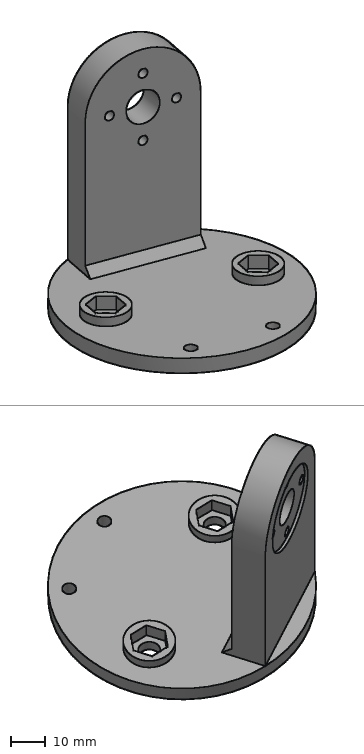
import cadquery as cq
import math

base_diameter = 77.0
base_thickness = 5.0

overall_height = 74.0
upright_width = 38.0
upright_thickness = 10.5
upright_radius = upright_width / 2
upright_outer_x = -math.sqrt((base_diameter / 2) ** 2 - upright_radius ** 2)
upright_inner_x = upright_outer_x + upright_thickness
bore_height = overall_height - upright_radius
foot_chamfer = 3.0

recess_diameter = 27.0
recess_depth = 1.0
bore_diameter = 11.0
bolt_circle_diameter = 22.0
bolt_hole_diameter = 3.0
bolt_count = 4

boss_offset = 25.0
boss_diameter = 15.0
boss_height = 3.0
nut_across_flats = 10.0
nut_across_corners = nut_across_flats / math.cos(math.pi / 6)
nut_pocket_depth = 4.5
screw_hole_diameter = 6.5
boss_top = base_thickness + boss_height

rim_hole_x = 29.5
rim_hole_spacing = 26.95
rim_hole_diameter = 4.0


def make_base():
    plate = cq.Workplane("XY").circle(base_diameter / 2).extrude(base_thickness)
    rim_holes = (
        cq.Workplane("XY")
        .pushPoints([(rim_hole_x, side * rim_hole_spacing / 2) for side in (-1, 1)])
        .circle(rim_hole_diameter / 2)
        .extrude(base_thickness)
    )
    return plate.cut(rim_holes)


def add_nut_bosses(body):
    centres = [(0, -boss_offset), (0, boss_offset)]
    bosses = cq.Workplane("XY").pushPoints(centres).circle(boss_diameter / 2).extrude(boss_top)
    pockets = (
        cq.Workplane("XY", origin=(0, 0, boss_top))
        .pushPoints(centres)
        .polygon(6, nut_across_corners)
        .extrude(-nut_pocket_depth)
    )
    screw_holes = (
        cq.Workplane("XY").pushPoints(centres).circle(screw_hole_diameter / 2).extrude(boss_top)
    )
    return body.union(bosses).cut(pockets).cut(screw_holes)


def make_upright():
    plate = (
        cq.Workplane("YZ", origin=(upright_outer_x, 0, 0))
        .moveTo(-upright_radius, base_thickness)
        .lineTo(upright_radius, base_thickness)
        .lineTo(upright_radius, bore_height)
        .threePointArc((0, overall_height), (-upright_radius, bore_height))
        .close()
        .extrude(upright_thickness)
    )
    foot = (
        cq.Workplane("XZ")
        .moveTo(upright_inner_x, base_thickness)
        .lineTo(upright_inner_x + foot_chamfer, base_thickness)
        .lineTo(upright_inner_x, base_thickness + foot_chamfer)
        .close()
        .extrude(upright_radius, both=True)
    )
    return plate.union(foot)


def cut_flange_seat(body):
    outer_face = cq.Workplane("YZ", origin=(upright_outer_x, 0, bore_height))
    recess = outer_face.circle(recess_diameter / 2).extrude(recess_depth)
    bore = outer_face.circle(bore_diameter / 2).extrude(upright_thickness)
    bolt_holes = (
        outer_face.polarArray(bolt_circle_diameter / 2, 0, 360, bolt_count)
        .circle(bolt_hole_diameter / 2)
        .extrude(upright_thickness)
    )
    return body.cut(recess).cut(bore).cut(bolt_holes)


upright = cut_flange_seat(make_upright())
result = add_nut_bosses(make_base()).union(upright)